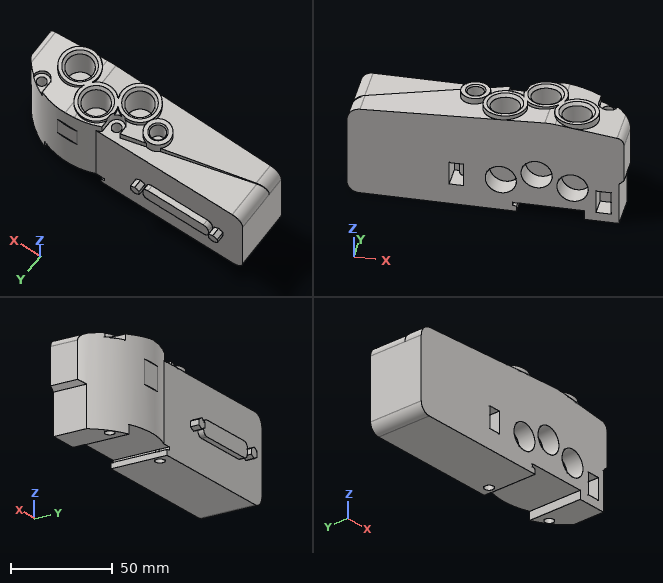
import cadquery as cq
import math

LENGTH = 139.2
BODY_DEPTH = 33.1
RIDGE_X = 102.0
RIDGE_Z = 54.9
LEFT_SLOPE = math.radians(3)
RIGHT_SLOPE = math.radians(7)
RIDGE_RADIUS = 30.0
BOTTOM_LEFT_RADIUS = 6.0
TOP_LEFT_RADIUS = 7.0
TOP_RIGHT_RADIUS = 4.0
FOOT_X = 136.7
OVERHANG_Z = 26.0
OVERHANG_CHAMFER = LENGTH - FOOT_X

RAIL_LEFT = 83.2
RAIL_RIGHT = 119.1
RAIL_HEIGHT = 5.1
HOOK_TIP_X = 85.2
HOOK_ROOT_Z = 3.5
HOOK_TIP_Z = 3.1

BULGE_X = 103.6
BULGE_Y = 36.1
BULGE_RADIUS = 41.5
BULGE_CENTER_Y = BULGE_Y - BULGE_RADIUS
FLAT_Y = 35.7
FLAT_BOTTOM = 28.9
FLAT_TOP = 42.3

SHELF_Z = 49.2
SHELF_RADIUS = 6.3
WEDGE_START_Y = 10.5
WEDGE_END_Y = 29.7

SCREW_XS = (80.75, 125.75)
SCREW_Y = 26.0
SCREW_DIAMETER = 5.3
NOTCH_RADIUS = 4.65

TOP_Z = 56.0
PORT_PITCH = 18.0
PORT_MIDDLE_X = 95.3
PORT_XS = tuple(PORT_MIDDLE_X + step * PORT_PITCH for step in (-1, 0, 1))
COLLAR_DIAMETER = 22.0
PORT_DIAMETER = 14.95
PORT_MOUTH = 18.0
PORT_DEPTH = 20.0
PORT_FRONT_Y = COLLAR_DIAMETER / 2
PORT_BACK_Y = 22.8
PORT_YS = (PORT_FRONT_Y, PORT_BACK_Y, PORT_FRONT_Y)
PILOT_X = 60.7
PILOT_Y = 19.2
PILOT_COLLAR_DIAMETER = 14.8
PILOT_DIAMETER = 8.5
PILOT_MOUTH = 10.0
PILOT_DEPTH = 12.0

BORE_DIAMETER = 15.6
BORE_DEPTH = 10.2
BORE_LOW_Z = 17.9
BORE_HIGH_Z = 23.4
BORE_ZS = (BORE_LOW_Z, BORE_HIGH_Z, BORE_LOW_Z)

POCKET_HEIGHT = 12.7
LATCH_LEFT = 51.4
LATCH_WIDTH = 7.1
LATCH_BOTTOM = 11.7
LATCH_DEPTH = 8.0
LATCH_SHOULDER_RADIUS = 4.4
FOOT_POCKET_LEFT = 125.1
FOOT_POCKET_WIDTH = 7.6
FOOT_POCKET_BOTTOM = RAIL_HEIGHT
FOOT_POCKET_DEPTH = 10.0

CONNECTOR_Z = 23.6
PAD_LEFT = 18.3
PAD_RIGHT = 57.5
PAD_HEIGHT = 8.9
PAD_BACK_Y = 36.5
PAD_RADIUS = 3.0
PEG_XS = (14.5, 61.4)
PEG_BACK_Y = 38.0
PEG_ACROSS_FLATS = 5.3
PEG_SIDES = 6


def block(x0, x1, y0, y1, z0, z1):
    return cq.Workplane("XY").box(x1 - x0, y1 - y0, z1 - z0, centered=False).translate((x0, y0, z0))


def round_edge(body, x, z, radius):
    """Fillet the edge along Y that passes through (x, z)."""
    edge = cq.selectors.NearestToPointSelector((x, BODY_DEPTH / 2, z))
    return body.edges("|Y").edges(edge).fillet(radius)


def profile_body(top_points, depth):
    """Extrude the side outline; top_points run from the right end to the left end."""
    outline = [
        (0, 0), (HOOK_TIP_X, 0), (HOOK_TIP_X, HOOK_TIP_Z), (RAIL_LEFT, HOOK_ROOT_Z),
        (RAIL_LEFT, RAIL_HEIGHT), (RAIL_RIGHT, RAIL_HEIGHT), (RAIL_RIGHT, 0), (FOOT_X, 0),
        (FOOT_X, OVERHANG_Z - OVERHANG_CHAMFER), (LENGTH, OVERHANG_Z),
    ]
    body = cq.Workplane("XZ").polyline(outline + top_points).close().extrude(-depth)
    return round_edge(body, 0, 0, BOTTOM_LEFT_RADIUS)


def shelf_body():
    """Everything up to the flat shelf, including the bulge of the back wall."""
    body = profile_body([(LENGTH, SHELF_Z), (0, SHELF_Z)], BULGE_Y)
    body = round_edge(body, 0, SHELF_Z, SHELF_RADIUS)
    body = round_edge(body, LENGTH, SHELF_Z, TOP_RIGHT_RADIUS)
    straight_part = block(0, BULGE_X, 0, BODY_DEPTH, 0, TOP_Z)
    return body.intersect(straight_part.union(bulge_disc()))


def bulge_disc():
    return cq.Workplane("XY").center(BULGE_X, BULGE_CENTER_Y).circle(BULGE_RADIUS).extrude(TOP_Z)


def sloped_body():
    """The full-height body with its ridge, limited to the area in front of the shelf."""
    right_z = RIDGE_Z - (LENGTH - RIDGE_X) * math.tan(RIGHT_SLOPE)
    left_z = RIDGE_Z - RIDGE_X * math.tan(LEFT_SLOPE)
    body = profile_body([(LENGTH, right_z), (RIDGE_X, RIDGE_Z), (0, left_z)], BULGE_Y)
    body = round_edge(body, 0, left_z, TOP_LEFT_RADIUS)
    body = round_edge(body, RIDGE_X, RIDGE_Z, RIDGE_RADIUS)
    body = round_edge(body, LENGTH, right_z, TOP_RIGHT_RADIUS)
    split_x = SCREW_XS[0]
    notch_left = split_x - NOTCH_RADIUS
    wedge_plan = [
        (0, 0), (split_x, 0), (split_x, WEDGE_END_Y),
        (notch_left, WEDGE_END_Y), (0, WEDGE_START_Y),
    ]
    wedge = cq.Workplane("XY").polyline(wedge_plan).close().extrude(TOP_Z)
    right_part = block(split_x, LENGTH, 0, BULGE_Y, 0, TOP_Z).intersect(bulge_disc())
    return body.intersect(wedge.union(right_part))


def collar(x, y, diameter):
    return cq.Workplane("XY", origin=(x, y, SHELF_Z)).circle(diameter / 2).extrude(TOP_Z - SHELF_Z)


def port_hole(x, y, diameter, mouth, depth):
    """Blind hole from the top with a 45 degree mouth chamfer."""
    chamfer = (mouth - diameter) / 2
    hole = cq.Workplane("XY", origin=(x, y, TOP_Z)).circle(diameter / 2).extrude(-depth)
    cone = cq.Solid.makeCone(diameter / 2, mouth / 2, chamfer, cq.Vector(x, y, TOP_Z - chamfer))
    return hole.union(cq.Workplane(obj=cone))


def screw_notch(x):
    """Round-bottomed notch down to the shelf, open to the back, with its screw hole."""
    height = TOP_Z - SHELF_Z
    end = cq.Workplane("XY", origin=(x, SCREW_Y, SHELF_Z)).circle(NOTCH_RADIUS).extrude(height)
    opening = block(x - NOTCH_RADIUS, x + NOTCH_RADIUS, SCREW_Y, BULGE_Y, SHELF_Z, TOP_Z)
    hole = cq.Workplane("XY", origin=(x, SCREW_Y, 0)).circle(SCREW_DIAMETER / 2).extrude(TOP_Z)
    return end.union(opening).union(hole)


def front_bore(x, z):
    return cq.Workplane("XZ", origin=(x, 0, z)).circle(BORE_DIAMETER / 2).extrude(-BORE_DEPTH)


def latch_pocket():
    """Pocket that narrows over a rounded shoulder on its right-hand side."""
    right = LATCH_LEFT + LATCH_WIDTH
    shoulder_x = right - LATCH_SHOULDER_RADIUS
    bottom_y = LATCH_DEPTH + LATCH_SHOULDER_RADIUS
    return (
        cq.Workplane("XY", origin=(0, 0, LATCH_BOTTOM))
        .moveTo(LATCH_LEFT, 0)
        .lineTo(right, 0)
        .lineTo(right, LATCH_DEPTH)
        .radiusArc((shoulder_x, bottom_y), LATCH_SHOULDER_RADIUS)
        .lineTo(LATCH_LEFT, bottom_y)
        .close()
        .extrude(POCKET_HEIGHT)
    )


def foot_pocket():
    return block(
        FOOT_POCKET_LEFT, FOOT_POCKET_LEFT + FOOT_POCKET_WIDTH,
        0, FOOT_POCKET_DEPTH,
        FOOT_POCKET_BOTTOM, FOOT_POCKET_BOTTOM + POCKET_HEIGHT,
    )


def bulge_flat():
    return block(0, LENGTH, FLAT_Y, BULGE_Y, FLAT_BOTTOM, FLAT_TOP)


def back_pad():
    pad_bottom = CONNECTOR_Z - PAD_HEIGHT / 2
    pad = block(PAD_LEFT, PAD_RIGHT, BODY_DEPTH, PAD_BACK_Y, pad_bottom, pad_bottom + PAD_HEIGHT)
    return pad.edges("|Y").fillet(PAD_RADIUS)


def back_peg(x):
    """Hexagonal peg with corners pointing up and down."""
    half_side_angle = 180 / PEG_SIDES
    across_corners = PEG_ACROSS_FLATS / math.cos(math.pi / PEG_SIDES)
    peg = cq.Workplane("XZ").polygon(PEG_SIDES, across_corners).extrude(BODY_DEPTH - PEG_BACK_Y)
    return peg.rotate((0, 0, 0), (0, 1, 0), half_side_angle).translate((x, BODY_DEPTH, CONNECTOR_Z))


result = shelf_body().union(sloped_body())

for port_x, port_y in zip(PORT_XS, PORT_YS):
    result = result.union(collar(port_x, port_y, COLLAR_DIAMETER))
result = result.union(collar(PILOT_X, PILOT_Y, PILOT_COLLAR_DIAMETER))

for port_x, port_y in zip(PORT_XS, PORT_YS):
    result = result.cut(port_hole(port_x, port_y, PORT_DIAMETER, PORT_MOUTH, PORT_DEPTH))
result = result.cut(port_hole(PILOT_X, PILOT_Y, PILOT_DIAMETER, PILOT_MOUTH, PILOT_DEPTH))

for screw_x in SCREW_XS:
    result = result.cut(screw_notch(screw_x))

for bore_x, bore_z in zip(PORT_XS, BORE_ZS):
    result = result.cut(front_bore(bore_x, bore_z))

result = result.cut(latch_pocket()).cut(foot_pocket()).cut(bulge_flat())

result = result.union(back_pad())
for peg_x in PEG_XS:
    result = result.union(back_peg(peg_x))